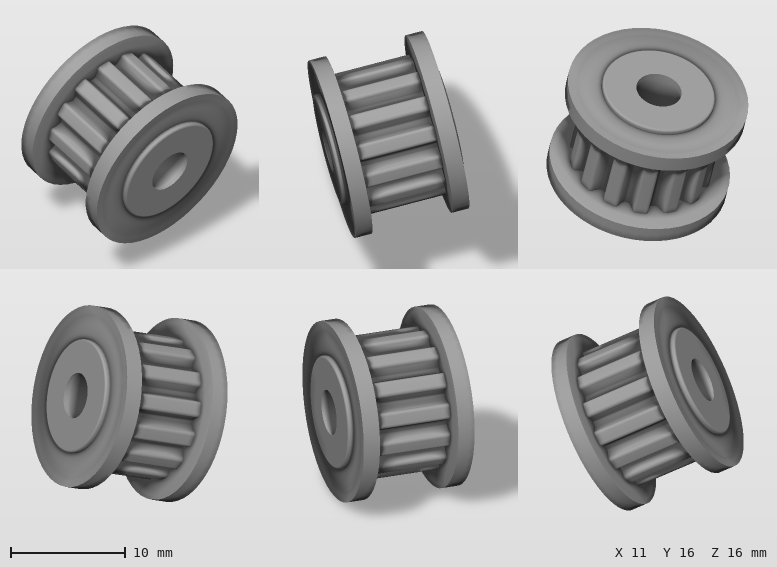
import cadquery as cq
import math


flange_radius = 8.0
flange_flat_radius = 6.69
flange_thickness = 1.5
flange_flare = 0.13
overall_width = 11.0
tooth_face_width = 7.0
hub_radius = 5.0
hub_fillet = 0.2
bore_diameter = 4.0

tooth_count = 14
tip_radius = 6.3
root_radius = 5.28
tip_fillet = 0.3
flank_radius = 1.92
root_fillet = 0.16
groove_half_angle = 9.0
root_half_angle = 1.5

half_overall = overall_width / 2
half_tooth_face = tooth_face_width / 2
tooth_pitch_angle = 360.0 / tooth_count


def polar(radius, degrees):
    """Point at a radius from the axis and an angle from the groove centre line."""
    angle = math.radians(degrees)
    return radius * math.cos(angle), radius * math.sin(angle)


def toward(start, target, distance):
    """Point a given distance from start along the line to target."""
    ratio = distance / math.dist(start, target)
    return start[0] + (target[0] - start[0]) * ratio, start[1] + (target[1] - start[1]) * ratio


def arc_middle(center, start, end, radius):
    """Middle of the shorter arc around center from start to end."""
    chord_middle = ((start[0] + end[0]) / 2, (start[1] + end[1]) / 2)
    return toward(center, chord_middle, radius)


def flank_center(tip_center, root_center):
    """Center of the flank arc that touches both the tip fillet and the root fillet."""
    tip_distance = flank_radius + tip_fillet
    root_distance = flank_radius - root_fillet
    span = math.dist(root_center, tip_center)
    along = (root_distance**2 - tip_distance**2 + span**2) / (2 * span)
    across = math.sqrt(root_distance**2 - along**2)
    unit_u = (tip_center[0] - root_center[0]) / span
    unit_v = (tip_center[1] - root_center[1]) / span
    return (
        root_center[0] + along * unit_u + across * unit_v,
        root_center[1] + along * unit_v - across * unit_u,
    )


def groove_side():
    """Points on one groove side, from the root outwards: arc ends and arc middles in turn."""
    root_center = polar(root_radius + root_fillet, root_half_angle)
    tip_center = polar(tip_radius - tip_fillet, groove_half_angle)
    side_center = flank_center(tip_center, root_center)

    root_end = polar(root_radius, root_half_angle)
    flank_start = toward(side_center, root_center, flank_radius)
    flank_end = toward(tip_center, side_center, tip_fillet)
    tip_start = polar(tip_radius, groove_half_angle)
    return [
        root_end,
        arc_middle(root_center, root_end, flank_start, root_fillet),
        flank_start,
        arc_middle(side_center, flank_start, flank_end, flank_radius),
        flank_end,
        arc_middle(tip_center, flank_end, tip_start, tip_fillet),
        tip_start,
    ]


def rotate_point(point, degrees):
    """Point turned about the pulley axis."""
    angle = math.radians(degrees)
    return (
        point[0] * math.cos(angle) - point[1] * math.sin(angle),
        point[0] * math.sin(angle) + point[1] * math.cos(angle),
    )


def toothed_body():
    """Toothed cylinder between the flanges, with a groove centred on -Y."""
    right_side = groove_side()
    left_side = [(u, -v) for u, v in reversed(right_side)]
    pitch_points = left_side + [(root_radius, 0)] + right_side
    pitch_points.append(polar(tip_radius, tooth_pitch_angle / 2))
    pitch_points.append(rotate_point(left_side[0], tooth_pitch_angle))

    first_groove_angle = 180.0
    outline = cq.Workplane("YZ", origin=(-half_tooth_face, 0, 0))
    outline = outline.moveTo(*rotate_point(pitch_points[0], first_groove_angle))
    for tooth in range(tooth_count):
        groove_angle = first_groove_angle + tooth * tooth_pitch_angle
        points = [rotate_point(p, groove_angle) for p in pitch_points[1:]]
        for middle, end in zip(points[0::2], points[1::2]):
            outline = outline.threePointArc(middle, end)
    return outline.close().extrude(tooth_face_width)


def flange_and_hub():
    """Flange with flared rim and the hub outside it, on the +X side."""
    inner_face = half_tooth_face
    outer_face = inner_face + flange_thickness
    rim_width = flange_radius - flange_flat_radius
    flare_radius = (rim_width**2 + flange_flare**2) / (2 * flange_flare)
    half_sweep = math.asin(rim_width / flare_radius) / 2
    middle_shift = flare_radius * (1 - math.cos(half_sweep))
    middle_radius = flange_flat_radius + flare_radius * math.sin(half_sweep)

    flange = (
        cq.Workplane("XY")
        .moveTo(inner_face, 0)
        .lineTo(inner_face, flange_flat_radius)
        .threePointArc(
            (inner_face + middle_shift, middle_radius),
            (inner_face + flange_flare, flange_radius),
        )
        .lineTo(outer_face + flange_flare, flange_radius)
        .threePointArc(
            (outer_face + middle_shift, middle_radius),
            (outer_face, flange_flat_radius),
        )
        .lineTo(outer_face, 0)
        .close()
        .revolve(360, (0, 0, 0), (1, 0, 0))
    )
    hub = (
        cq.Workplane("YZ", origin=(inner_face, 0, 0))
        .circle(hub_radius)
        .extrude(half_overall - inner_face)
        .faces(">X")
        .edges()
        .fillet(hub_fillet)
    )
    return flange.union(hub)


side = flange_and_hub()
bore = (
    cq.Workplane("YZ", origin=(-half_overall, 0, 0))
    .circle(bore_diameter / 2)
    .extrude(overall_width)
)
result = toothed_body().union(side).union(side.mirror("YZ")).cut(bore)